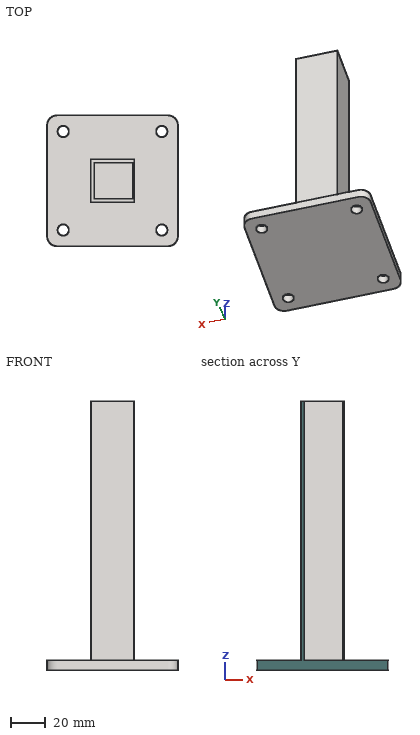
import cadquery as cq

total_height = 156.0
plate_side = 76.0
plate_thickness = 6.0
plate_corner_radius = 6.0

hole_diameter = 6.4
hole_spacing = 57.1

tube_side = 25.0
tube_wall = 2.0
tube_height = total_height - plate_thickness
tube_thin_wall = 0.8
bore_length = tube_side - tube_wall - tube_thin_wall
bore_width = tube_side - 2 * tube_wall
bore_center_x = (tube_wall - tube_thin_wall) / 2

plate = (
    cq.Workplane("XY")
    .rect(plate_side, plate_side)
    .extrude(plate_thickness)
    .edges("|Z")
    .fillet(plate_corner_radius)
    .faces(">Z")
    .workplane()
    .rect(hole_spacing, hole_spacing, forConstruction=True)
    .vertices()
    .hole(hole_diameter)
)

post = (
    cq.Workplane("XY")
    .workplane(offset=plate_thickness)
    .rect(tube_side, tube_side)
    .extrude(tube_height)
)

bore = (
    cq.Workplane("XY")
    .workplane(offset=plate_thickness)
    .center(bore_center_x, 0)
    .rect(bore_length, bore_width)
    .extrude(tube_height)
)

tube = post.cut(bore)

result = plate.union(tube)